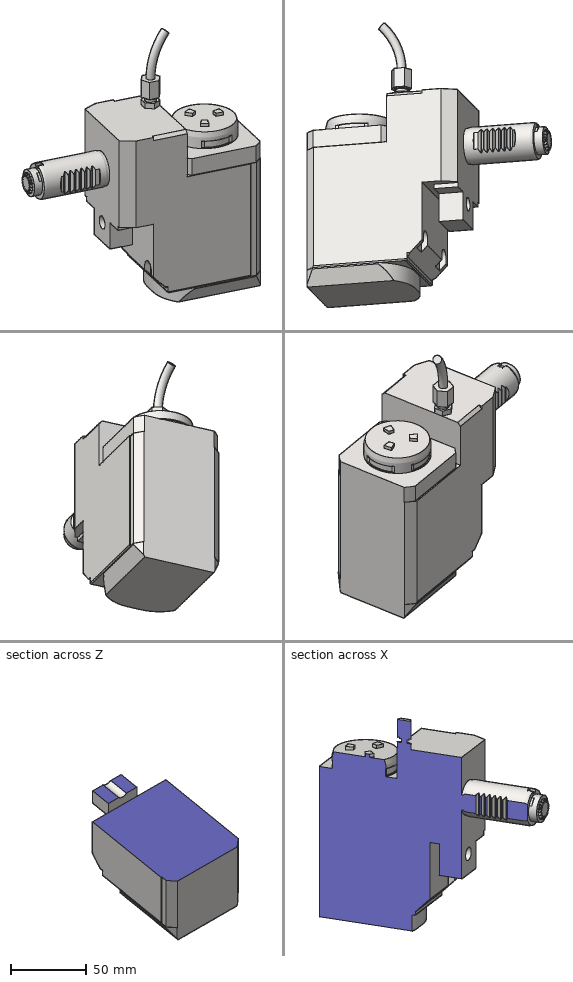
import cadquery as cq
import math


WIDTH = 64.0
HALF_WIDTH = WIDTH / 2
HEAD_TOP_Z = 32.0
HEAD_BOTTOM_Z = -32.0
FRONT_WALL_Y = 23.0
SPLIT_Y = 33.5
HEAD_BACK_Y = 47.6
BACK_Y = 104.0
SHELF_Z = -2.0
HOUSING_BOTTOM_Z = -85.2
SLOPE_DROP = SPLIT_Y - FRONT_WALL_Y
SLOPE_BOTTOM_Z = -82.3
SLOPE_TOP_Z = SLOPE_BOTTOM_Z + SLOPE_DROP
REAR_CHAMFER = 6.0
FACE_CHAMFER_X = 5.0
FACE_CHAMFER_Y = 10.0
EDGE_CHAMFER = 2.3
BOTTOM_CHAMFER_X = 0.5
BOTTOM_CHAMFER_Z = 1.1
CORNER_STEP_DEPTH = 0.65
CORNER_STEP_LENGTH = 9.8

POCKET_X = 23.0
POCKET_WIDTH = 10.5
POCKET_TOP_Z = -63.3
POCKET_FLOOR_Y = 27.4

BASE_BOTTOM_Z = -96.65
BASE_HALF_WIDTH = 31.5
BASE_FOOT_HALF_WIDTH = 25.5
BASE_SLOPE_TOP_Z = -86.1
BASE_FRONT_Y = 35.4
BASE_FLAT_HALF = 4.7
BASE_ARC_RADIUS = 29.0
BASE_REAR_CHAMFER = 5.2

PLATE_WIDTH = 62.0
PLATE_TOP_Z = 10.1
PLATE_CORNER_RADIUS = 38.8
KNOB_Y = 75.0
KNOB_DIAMETER = 45.0
KNOB_NECK_DIAMETER = 43.0
KNOB_FOOT_HEIGHT = 0.5
KNOB_FLATS = 39.0
KNOB_TOP_DIAMETER = 43.0
KNOB_RIM_BOTTOM_Z = 15.5
KNOB_RIM_TOP_Z = 18.1
KNOB_TOP_Z = 22.0
MARK_COUNT = 3
MARK_RADIUS = 10.6
MARK_START_ANGLE = 96.0
MARK_HEIGHT = 2.3
MARK_LENGTH = 5.3
MARK_OUTER_WIDTH = 5.7
MARK_INNER_WIDTH = 4.0

BRACKET_DEPTH = 16.5
BRACKET_PLATE_WIDTH = 50.0
BRACKET_PLATE_THICKNESS = 3.0
TONGUE_WIDTH = 25.0
TONGUE_BOTTOM_Z = -54.3
BRACKET_HOLE_DIAMETER = 9.0
BRACKET_HOLE_Z = -40.0

GLAND_X = -14.0
GLAND_Y = 42.0
LOWER_HEX_FLATS = 11.0
LOWER_HEX_TOP_Z = 36.0
GLAND_NECK_DIAMETER = 8.15
GLAND_COLLAR_DIAMETER = 9.8
GLAND_COLLAR_BOTTOM_Z = 38.3
UPPER_HEX_FLATS = 12.0
UPPER_HEX_BOTTOM_Z = 39.1
UPPER_HEX_TOP_Z = 52.0
CABLE_DIAMETER = 6.0
CABLE_TOP_Z = 84.66
CABLE_BEND_ANGLE = 47.0
CABLE_HEADING = 107.5

SHANK_DIAMETER = 25.0
SHANK_RADIUS = SHANK_DIAMETER / 2
SHANK_NECK_DIAMETER = 24.1
SHANK_NECK_LENGTH = 1.0
SHANK_START = 2.5
SHANK_TIP_DIAMETER = 24.1
SHANK_CHAMFER_START = 46.3
SHANK_LENGTH = 48.0
NOSE_DIAMETER = 18.6
NOSE_END = 53.9
SPLINE_DIAMETER = 14.3
SPLINE_TIP_DIAMETER = 12.0
SPLINE_ROOT_DIAMETER = 10.0
SPLINE_TAPER_START = 55.0
SPLINE_END = 56.0
SPLINE_TOOTH_COUNT = 18
SPLINE_GROOVE_WIDTH = 2.2
KEYWAY_WIDTH = 4.0
KEYWAY_FLOOR_Z = 10.4
KEYWAY_START = 43.9
NOSE_FLAT_OFFSET = 9.0
NOSE_NOTCH_OFFSET = 8.8
NOSE_NOTCH_LENGTH = 1.9
NOSE_NOTCH_ANGLE = 45.0

FLANK_X = 11.1
FLANK_START = 7.0
FLANK_END = 34.9
TOOTH_PITCH = 4.0
TOOTH_LAND = 0.4
TOOTH_DEPTH = TOOTH_PITCH / 2 - TOOTH_LAND
TOOTH_COUNT = 6
FIRST_VALLEY = 11.75


def box(x0, x1, y0, y1, z0, z1):
    """Box between opposite corners."""
    return cq.Workplane("XY").box(x1 - x0, y1 - y0, z1 - z0, centered=False).translate((x0, y0, z0))


def prism_z(points, z0, z1):
    """Vertical prism over an XY outline."""
    return cq.Workplane("XY").workplane(offset=z0).polyline(points).close().extrude(z1 - z0)


def prism_y(points, y0, y1):
    """Prism along Y over an XZ outline."""
    return cq.Workplane("XZ", origin=(0, y0, 0)).polyline(points).close().extrude(y0 - y1)


def cylinder_z(diameter, x, y, z0, z1):
    """Vertical cylinder."""
    return cq.Workplane("XY", origin=(x, y, z0)).circle(diameter / 2).extrude(z1 - z0)


def mirrored(points):
    """Outline points symmetric about X = 0, from those of the -X half."""
    return points + [(-x, y) for x, y in reversed(points)]


def make_housing():
    side_profile = [
        (0, HEAD_TOP_Z),
        (HEAD_BACK_Y, HEAD_TOP_Z),
        (HEAD_BACK_Y, SHELF_Z),
        (BACK_Y, SHELF_Z),
        (BACK_Y, HOUSING_BOTTOM_Z),
        (SPLIT_Y, HOUSING_BOTTOM_Z),
        (SPLIT_Y, SLOPE_BOTTOM_Z),
        (FRONT_WALL_Y, SLOPE_TOP_Z),
        (FRONT_WALL_Y, HEAD_BOTTOM_Z),
        (0, HEAD_BOTTOM_Z),
    ]
    block = cq.Workplane("YZ").polyline(side_profile).close().extrude(HALF_WIDTH, both=True)
    footprint = mirrored([
        (-HALF_WIDTH + FACE_CHAMFER_X, 0),
        (-HALF_WIDTH, FACE_CHAMFER_Y),
        (-HALF_WIDTH, BACK_Y - REAR_CHAMFER),
        (-HALF_WIDTH + REAR_CHAMFER, BACK_Y),
    ])
    block = block.intersect(prism_z(footprint, HOUSING_BOTTOM_Z, HEAD_TOP_Z))

    for side in (-1, 1):
        edge_x = side * HALF_WIDTH
        inner_x = side * (HALF_WIDTH - EDGE_CHAMFER)
        top_edge = [(edge_x, HEAD_TOP_Z), (inner_x, HEAD_TOP_Z), (edge_x, HEAD_TOP_Z - EDGE_CHAMFER)]
        block = block.cut(prism_y(top_edge, FRONT_WALL_Y, HEAD_BACK_Y))
        foot_edge = [
            (edge_x, SLOPE_BOTTOM_Z),
            (inner_x, SLOPE_BOTTOM_Z),
            (edge_x, SLOPE_BOTTOM_Z + EDGE_CHAMFER),
        ]
        block = block.cut(prism_y(foot_edge, FRONT_WALL_Y, SPLIT_Y))

    block = block.faces("<Z").edges("|Y or (|X and <Y)").chamfer(BOTTOM_CHAMFER_Z, BOTTOM_CHAMFER_X)
    step = box(
        HALF_WIDTH - CORNER_STEP_DEPTH, HALF_WIDTH,
        BACK_Y - CORNER_STEP_LENGTH, BACK_Y,
        HOUSING_BOTTOM_Z, SHELF_Z,
    )
    return block.cut(step)


def make_screw_pocket(x):
    """Pocket open to the sloped front, with a round upper end."""
    radius = POCKET_WIDTH / 2
    centre_z = POCKET_TOP_Z - radius
    left = x - radius
    right = x + radius
    return (
        cq.Workplane("XZ", origin=(0, POCKET_FLOOR_Y, 0))
        .moveTo(left, SLOPE_BOTTOM_Z)
        .lineTo(left, centre_z)
        .threePointArc((x, POCKET_TOP_Z), (right, centre_z))
        .lineTo(right, SLOPE_BOTTOM_Z)
        .close()
        .extrude(POCKET_FLOOR_Y - FRONT_WALL_Y)
    )


def base_arc_y(offset):
    """Y on the rounded front of the base at an X offset from the end of the front flat."""
    return BASE_FRONT_Y + BASE_ARC_RADIUS - math.sqrt(BASE_ARC_RADIUS ** 2 - offset ** 2)


def make_base():
    arc_span = BASE_HALF_WIDTH - BASE_FLAT_HALF
    arc_end = (BASE_HALF_WIDTH, base_arc_y(arc_span))
    arc_middle = (BASE_FLAT_HALF + arc_span / 2, base_arc_y(arc_span / 2))
    side_end_y = BACK_Y - BASE_REAR_CHAMFER
    rear_x = BASE_HALF_WIDTH - BASE_REAR_CHAMFER
    footprint = (
        cq.Workplane("XY", origin=(0, 0, BASE_BOTTOM_Z))
        .moveTo(-BASE_FLAT_HALF, BASE_FRONT_Y)
        .lineTo(BASE_FLAT_HALF, BASE_FRONT_Y)
        .threePointArc(arc_middle, arc_end)
        .lineTo(BASE_HALF_WIDTH, side_end_y)
        .lineTo(rear_x, BACK_Y)
        .lineTo(-rear_x, BACK_Y)
        .lineTo(-BASE_HALF_WIDTH, side_end_y)
        .lineTo(-arc_end[0], arc_end[1])
        .threePointArc((-arc_middle[0], arc_middle[1]), (-BASE_FLAT_HALF, BASE_FRONT_Y))
        .close()
        .extrude(HOUSING_BOTTOM_Z - BASE_BOTTOM_Z)
    )
    cross_section = mirrored([
        (-BASE_FOOT_HALF_WIDTH, BASE_BOTTOM_Z),
        (-BASE_HALF_WIDTH, BASE_SLOPE_TOP_Z),
        (-BASE_HALF_WIDTH, HOUSING_BOTTOM_Z),
    ])
    return footprint.intersect(prism_y(cross_section, BASE_FRONT_Y, BACK_Y))


def make_cover_plate():
    half = PLATE_WIDTH / 2
    plate = box(-half, half, HEAD_BACK_Y, BACK_Y, SHELF_Z, PLATE_TOP_Z)
    corners = cylinder_z(2 * PLATE_CORNER_RADIUS, 0, KNOB_Y, SHELF_Z, PLATE_TOP_Z)
    return plate.intersect(corners)


def make_knob():
    foot_top_z = PLATE_TOP_Z + KNOB_FOOT_HEIGHT
    foot = cylinder_z(KNOB_DIAMETER, 0, 0, PLATE_TOP_Z, foot_top_z)
    neck = cylinder_z(KNOB_NECK_DIAMETER, 0, 0, foot_top_z, KNOB_RIM_BOTTOM_Z)
    half_flats = KNOB_FLATS / 2
    corner_lands = cylinder_z(KNOB_DIAMETER, 0, 0, foot_top_z, KNOB_RIM_BOTTOM_Z).intersect(
        box(-half_flats, half_flats, -half_flats, half_flats, foot_top_z, KNOB_RIM_BOTTOM_Z)
    )
    cap_profile = [
        (0, KNOB_RIM_BOTTOM_Z),
        (KNOB_DIAMETER / 2, KNOB_RIM_BOTTOM_Z),
        (KNOB_DIAMETER / 2, KNOB_RIM_TOP_Z),
        (KNOB_TOP_DIAMETER / 2, KNOB_TOP_Z),
        (0, KNOB_TOP_Z),
    ]
    cap = cq.Workplane("XZ").polyline(cap_profile).close().revolve(360, (0, 0), (0, 1))
    knob = foot.union(neck).union(corner_lands).union(cap)

    inner = MARK_RADIUS - MARK_LENGTH / 2
    outer = MARK_RADIUS + MARK_LENGTH / 2
    mark_outline = [
        (inner, -MARK_INNER_WIDTH / 2),
        (outer, -MARK_OUTER_WIDTH / 2),
        (outer, MARK_OUTER_WIDTH / 2),
        (inner, MARK_INNER_WIDTH / 2),
    ]
    mark = prism_z(mark_outline, KNOB_TOP_Z, KNOB_TOP_Z + MARK_HEIGHT)
    for index in range(MARK_COUNT):
        angle = MARK_START_ANGLE + index * 360 / MARK_COUNT
        knob = knob.union(mark.rotate((0, 0, 0), (0, 0, 1), angle))
    return knob.translate((0, KNOB_Y, 0))


def make_bracket():
    plate_bottom_z = HEAD_BOTTOM_Z - BRACKET_PLATE_THICKNESS
    outline = mirrored([
        (-BRACKET_PLATE_WIDTH / 2, HEAD_BOTTOM_Z),
        (-BRACKET_PLATE_WIDTH / 2, plate_bottom_z),
        (-TONGUE_WIDTH / 2, plate_bottom_z),
        (-TONGUE_WIDTH / 2, TONGUE_BOTTOM_Z),
    ])
    hole = (
        cq.Workplane("XZ", origin=(0, BRACKET_DEPTH, BRACKET_HOLE_Z))
        .circle(BRACKET_HOLE_DIAMETER / 2)
        .extrude(BRACKET_DEPTH)
    )
    return prism_y(outline, 0, BRACKET_DEPTH).cut(hole)


def make_hex(flats, z0, z1, turn):
    """Hexagonal nut on the gland axis; turn = 0 puts corners along X."""
    corner_diameter = flats / math.cos(math.radians(30))
    nut = cq.Workplane("XY").polygon(6, corner_diameter).extrude(z1 - z0)
    return nut.rotate((0, 0, 0), (0, 0, 1), turn).translate((GLAND_X, GLAND_Y, z0))


def make_gland():
    neck = cylinder_z(GLAND_NECK_DIAMETER, GLAND_X, GLAND_Y, LOWER_HEX_TOP_Z, UPPER_HEX_BOTTOM_Z)
    collar = cylinder_z(
        GLAND_COLLAR_DIAMETER, GLAND_X, GLAND_Y, GLAND_COLLAR_BOTTOM_Z, UPPER_HEX_BOTTOM_Z
    )
    gland = (
        make_hex(LOWER_HEX_FLATS, HEAD_TOP_Z, LOWER_HEX_TOP_Z, 0)
        .union(neck)
        .union(collar)
        .union(make_hex(UPPER_HEX_FLATS, UPPER_HEX_BOTTOM_Z, UPPER_HEX_TOP_Z, 90))
    )
    return gland


def make_cable():
    """Cable bending in one arc from the gland to its tip, built in XZ and turned to its heading."""
    bend = math.radians(CABLE_BEND_ANGLE)
    end_z = CABLE_TOP_Z - CABLE_DIAMETER / 2 * math.sin(bend)
    bend_radius = (end_z - UPPER_HEX_TOP_Z) / math.sin(bend)

    def on_bend(angle):
        return (
            bend_radius * (1 - math.cos(angle)),
            UPPER_HEX_TOP_Z + bend_radius * math.sin(angle),
        )

    path = (
        cq.Workplane("XZ")
        .moveTo(0, UPPER_HEX_TOP_Z)
        .threePointArc(on_bend(bend / 2), on_bend(bend))
    )
    cable = (
        cq.Workplane("XY", origin=(0, 0, UPPER_HEX_TOP_Z))
        .circle(CABLE_DIAMETER / 2)
        .sweep(path)
    )
    return cable.rotate((0, 0, 0), (0, 0, 1), CABLE_HEADING).translate((GLAND_X, GLAND_Y, 0))


def make_spline_groove():
    """V groove between two spline teeth, at the top of the spline."""
    outer = SPLINE_DIAMETER / 2
    half_width = SPLINE_GROOVE_WIDTH / 2
    section = [(-half_width, outer), (0, SPLINE_ROOT_DIAMETER / 2), (half_width, outer)]
    return prism_y(section, -SPLINE_END, -NOSE_END)


def make_shank():
    profile = [
        (0, 0),
        (SHANK_NECK_DIAMETER / 2, 0),
        (SHANK_NECK_DIAMETER / 2, -SHANK_NECK_LENGTH),
        (SHANK_RADIUS, -SHANK_START),
        (SHANK_RADIUS, -SHANK_CHAMFER_START),
        (SHANK_TIP_DIAMETER / 2, -SHANK_LENGTH),
        (NOSE_DIAMETER / 2, -SHANK_LENGTH),
        (NOSE_DIAMETER / 2, -NOSE_END),
        (SPLINE_DIAMETER / 2, -NOSE_END),
        (SPLINE_DIAMETER / 2, -SPLINE_TAPER_START),
        (SPLINE_TIP_DIAMETER / 2, -SPLINE_END),
        (0, -SPLINE_END),
    ]
    shank = cq.Workplane("XY").polyline(profile).close().revolve(360, (0, 0), (0, 1))

    groove = make_spline_groove()
    for index in range(SPLINE_TOOTH_COUNT):
        angle = index * 360 / SPLINE_TOOTH_COUNT
        shank = shank.cut(groove.rotate((0, 0, 0), (0, 1, 0), angle))

    flank = make_toothed_flank()
    shank = shank.cut(flank).cut(flank.mirror("YZ"))

    half_key = KEYWAY_WIDTH / 2
    keyway = box(-half_key, half_key, -SHANK_LENGTH, -KEYWAY_START, KEYWAY_FLOOR_Z, SHANK_RADIUS)
    nose_radius = NOSE_DIAMETER / 2
    flat = box(-nose_radius, nose_radius, -NOSE_END, -SHANK_LENGTH, NOSE_FLAT_OFFSET, nose_radius)
    shank = shank.cut(keyway).cut(flat)
    notch = box(
        -nose_radius, nose_radius,
        -SHANK_LENGTH - NOSE_NOTCH_LENGTH, -SHANK_LENGTH,
        NOSE_NOTCH_OFFSET, nose_radius,
    )
    for angle in (-NOSE_NOTCH_ANGLE, NOSE_NOTCH_ANGLE):
        shank = shank.cut(notch.rotate((0, 0, 0), (0, 1, 0), angle))
    return shank


def make_toothed_flank():
    """Material removed beside the shank at +X: a flat, tapered grooves and a 45 degree run-out."""
    root_x = FLANK_X - TOOTH_DEPTH
    half_root = TOOTH_LAND / 2
    half_mouth = half_root + TOOTH_DEPTH
    clearance = SHANK_RADIUS - FLANK_X
    points = [(SHANK_RADIUS, -FLANK_START), (FLANK_X, -FLANK_START)]
    for index in range(TOOTH_COUNT):
        valley = -FIRST_VALLEY - index * TOOTH_PITCH
        points.append((FLANK_X, valley + half_mouth))
        points.append((root_x, valley + half_root))
        points.append((root_x, valley - half_root))
        points.append((FLANK_X, valley - half_mouth))
    points.append((FLANK_X, -FLANK_END))
    points.append((SHANK_RADIUS, -FLANK_END - clearance))
    return prism_z(points, -SHANK_RADIUS, SHANK_RADIUS)


result = make_housing()
for pocket_x in (-POCKET_X, POCKET_X):
    result = result.cut(make_screw_pocket(pocket_x))
for piece in (
    make_base(),
    make_cover_plate(),
    make_knob(),
    make_bracket(),
    make_gland(),
    make_cable(),
    make_shank(),
):
    result = result.union(piece)